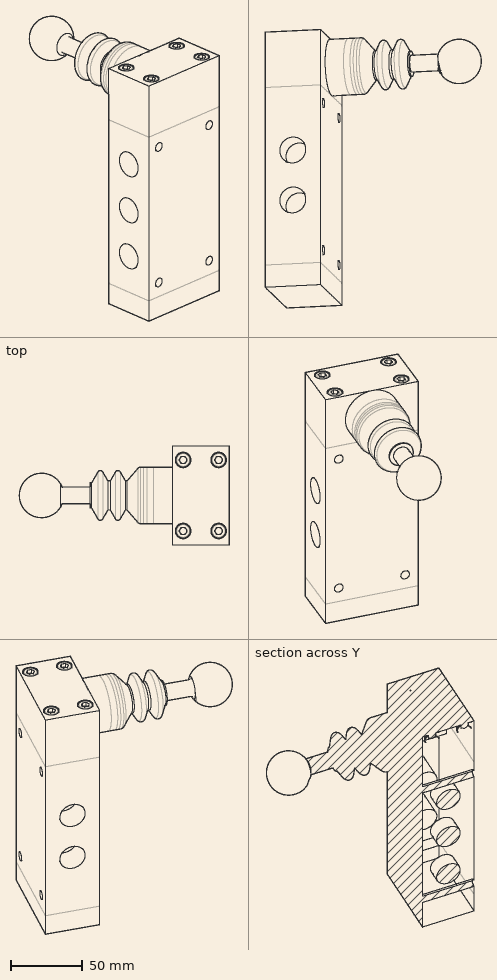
import cadquery as cq
import math

block_depth = 40.0
block_width = 70.0
cover_height = 16.0
body_height = 128.0
cap_height = 40.0
body_top = cover_height + body_height
block_top = body_top + cap_height
body_mid_height = cover_height + body_height / 2

mount_diameter = 6.5
mount_spacing_y = 50.0
mount_edge_distance = 11.0
mount_spacing_z = body_height - 2 * mount_edge_distance

port_diameter = 18.63
front_port_count = 3
back_port_count = 2
port_spacing = 36.0
port_depth = 20.0

screw_spacing_x = 25.0
screw_spacing_y = 50.0
counterbore_diameter = 11.0
head_diameter = 10.0
head_height = 6.0
head_rounding = 0.5
socket_across_flats = 5.0
socket_depth = 3.0
socket_cone_height = 1.5

lever_axis_height = body_top + cap_height / 2
knob_radius = 15.75
knob_center_distance = 92.2
knob_flat_distance = 78.75
rod_radius = 6.0

boot_radius = cap_height / 2
boot_seams = [13.25, 18.0, 20.25]
shoulder_distance = 23.6
shoulder_rounding = 2.5
collar_radius = 9.0
collar_distance = 57.9
fold_pitch = 12.35
inner_fold_distance = 38.45
outer_fold_distance = inner_fold_distance + fold_pitch
fold_radius = 17.6
fold_tip_rounding = 2.0
fold_flank_angle = math.radians(60)
neck_radius = 10.4
neck_end_distance = 31.9


def make_slab(bottom, height):
    slab = cq.Workplane("XY").box(block_depth, block_width, height, centered=(False, True, False))
    return slab.translate((0, 0, bottom))


def make_block():
    """Stack the three slabs, keeping the joints between them on the outside."""
    block = make_slab(0, cover_height)
    block = block.union(make_slab(cover_height, body_height), clean=False)
    return block.union(make_slab(body_top, cap_height), clean=False)


def make_mount_holes():
    return (
        cq.Workplane("YZ")
        .center(0, body_mid_height)
        .rarray(mount_spacing_y, mount_spacing_z, 2, 2)
        .circle(mount_diameter / 2)
        .extrude(block_depth)
    )


def make_ports(side, count):
    """Blind ports in a row on the side of the body facing side * Y."""
    return (
        cq.Workplane("XZ", origin=(block_depth / 2, side * block_width / 2, body_mid_height))
        .rarray(1, port_spacing, 1, count)
        .circle(port_diameter / 2)
        .extrude(side * port_depth)
    )


def make_screw_recess():
    """Empty space around and inside one screw head, with its top at Z = 0."""
    counterbore = cq.Workplane("XY").circle(counterbore_diameter / 2).extrude(-head_height)
    head = (
        cq.Workplane("XY")
        .circle(head_diameter / 2)
        .extrude(-head_height)
        .faces(">Z")
        .edges()
        .fillet(head_rounding)
    )
    across_corners = socket_across_flats / math.cos(math.pi / 6)
    socket = cq.Workplane("XY").polygon(6, across_corners).extrude(-socket_depth)
    socket_tip = cq.Solid.makeCone(
        socket_across_flats / 2,
        0,
        socket_cone_height,
        pnt=cq.Vector(0, 0, -socket_depth),
        dir=cq.Vector(0, 0, -1),
    )
    return counterbore.cut(head.cut(socket).cut(cq.Workplane(obj=socket_tip)))


def add_fold(profile, center, start_radius, end_radius):
    """Draw one bellows fold: straight flank, round tip, straight flank."""
    tip_center = fold_radius - fold_tip_rounding
    apex_radius = tip_center + fold_tip_rounding / math.cos(fold_flank_angle)
    tangent_offset = fold_tip_rounding * math.sin(fold_flank_angle)
    tangent_radius = tip_center + fold_tip_rounding * math.cos(fold_flank_angle)
    start_offset = (apex_radius - start_radius) / math.tan(fold_flank_angle)
    end_offset = (apex_radius - end_radius) / math.tan(fold_flank_angle)
    return (
        profile.lineTo(-center - start_offset, start_radius)
        .lineTo(-center - tangent_offset, tangent_radius)
        .threePointArc((-center, fold_radius), (-center + tangent_offset, tangent_radius))
        .lineTo(-center + end_offset, end_radius)
    )


def make_knob():
    """Ball with a flat facing the block, where the rod enters."""
    ball = cq.Workplane("XZ").sphere(knob_radius)
    ball = ball.translate((-knob_center_distance, 0, lever_axis_height))
    beyond_flat = (
        cq.Workplane("YZ", origin=(-knob_flat_distance, 0, lever_axis_height))
        .circle(knob_radius)
        .extrude(knob_radius)
    )
    return ball.cut(beyond_flat)


def make_rod_and_boot():
    """Revolve the half profile of rod and boot; X runs outwards as negative."""
    cone_angle = math.atan2(boot_radius - neck_radius, neck_end_distance - shoulder_distance)
    tangent_length = shoulder_rounding * math.tan(cone_angle / 2)
    shoulder_end = shoulder_distance - tangent_length
    arc_center_radius = boot_radius - shoulder_rounding

    def shoulder_point(angle):
        return (
            -shoulder_end - shoulder_rounding * math.sin(angle),
            arc_center_radius + shoulder_rounding * math.cos(angle),
        )

    profile = (
        cq.Workplane("XY")
        .moveTo(-knob_flat_distance, 0)
        .lineTo(-knob_flat_distance, rod_radius)
        .lineTo(-collar_distance, rod_radius)
        .lineTo(-collar_distance, collar_radius)
    )
    profile = add_fold(profile, outer_fold_distance, collar_radius, neck_radius)
    profile = add_fold(profile, inner_fold_distance, neck_radius, neck_radius)
    profile = (
        profile.lineTo(-neck_end_distance, neck_radius)
        .lineTo(*shoulder_point(cone_angle))
        .threePointArc(shoulder_point(cone_angle / 2), shoulder_point(0))
    )
    for distance in reversed(boot_seams):
        profile = profile.lineTo(-distance, boot_radius)
    profile = profile.lineTo(0, boot_radius).lineTo(0, 0).close()
    rod_and_boot = profile.revolve(360, (0, 0, 0), (1, 0, 0), clean=False)
    return rod_and_boot.translate((0, 0, lever_axis_height))


result = make_block().union(make_rod_and_boot(), clean=False)
result = result.union(make_knob(), clean=False)
result = result.cut(make_mount_holes(), clean=False)
result = result.cut(make_ports(-1, front_port_count), clean=False)
result = result.cut(make_ports(1, back_port_count), clean=False)

screw_recess = make_screw_recess()
for x_side in (-1, 1):
    for y_side in (-1, 1):
        screw_x = block_depth / 2 + x_side * screw_spacing_x / 2
        screw_y = y_side * screw_spacing_y / 2
        result = result.cut(screw_recess.translate((screw_x, screw_y, block_top)), clean=False)